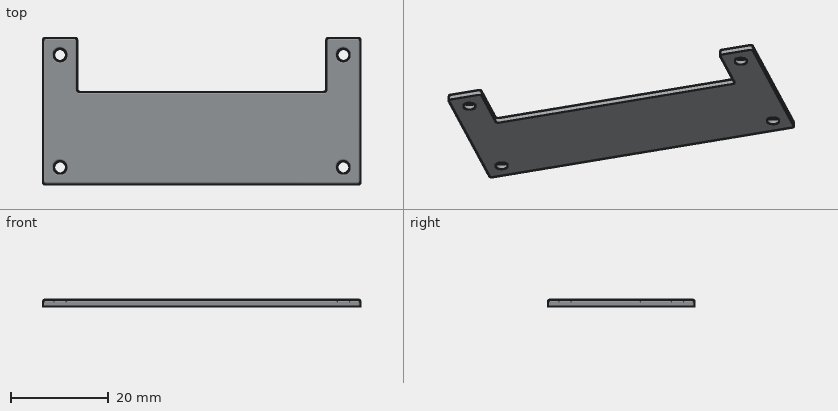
import cadquery as cq

length = 65.0
width = 30.0
thickness = 1.4
edge_radius = 0.5
corner_radius = 0.5

arm_width = 7.0
notch_depth = 11.05
notch_length = length - 2 * arm_width

hole_diameter = 2.5
hole_inset = 3.5


def notched_plate():
    """Flat U-shaped plate with rounded vertical corners."""
    plate = cq.Workplane("XY").box(length, width, thickness, centered=(True, True, False))
    notch = (
        cq.Workplane("XY")
        .center(0, width / 2 - notch_depth / 2)
        .rect(notch_length, notch_depth)
        .extrude(thickness)
    )
    return plate.cut(notch).edges("|Z").fillet(corner_radius)


def drill_mounting_holes(plate):
    """Through holes in a rectangular pattern."""
    return (
        plate.faces(">Z")
        .workplane(origin=(0, 0, thickness))
        .rect(length - 2 * hole_inset, width - 2 * hole_inset, forConstruction=True)
        .vertices()
        .hole(hole_diameter)
    )


result = drill_mounting_holes(notched_plate()).faces(">Z").edges().fillet(edge_radius)